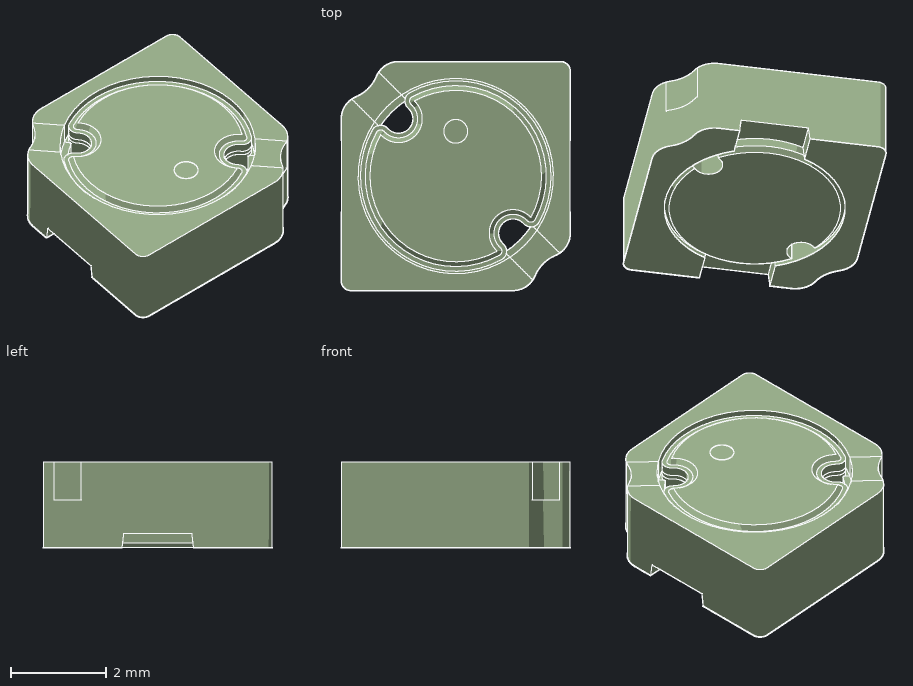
import cadquery as cq
import math

side = 4.8
height = 1.8
half = side / 2

plain_corner_radius = 0.2
scoop_radius = 0.8
scoop_blend_radius = 0.5

upper_bore_radius = 2.05
lower_bore_radius = 1.9
step_height = 1.3

slot_width = 0.8
slot_floor = 1.0

window_bottom_width = 1.5
window_top_width = 1.43
window_height = 0.3

pad_thickness = 0.01

flange_radius = 2.0
rim_chamfer = 0.1
rim_taper = 44.9
ledge_width = 0.1
ledge_height = height - rim_chamfer
notch_centre = 1.7
notch_radius = 0.3
lip_radius = 0.2

spacer_bottom = 1.4
spacer_top = 1.5
neck_radius = 0.9

dot_radius = 0.25
dot_y = 0.94
dot_depth = 0.01

diagonal_angle = -45
diagonal_ends = (1, -1)
diagonal_share = math.sqrt(0.5)


def cylinder(radius, bottom, top):
    return cq.Workplane("XY").workplane(offset=bottom).circle(radius).extrude(top - bottom)


def shield_outline():
    """Rounded square with two opposite corners scooped, each scoop blended into the sides."""
    blend_offset = half - scoop_blend_radius
    centre_distance = scoop_radius + scoop_blend_radius
    side_end = half - math.sqrt(centre_distance**2 - scoop_blend_radius**2)
    share = scoop_blend_radius / centre_distance
    join_along = side_end + share * (half - side_end)
    join_across = blend_offset + share * (half - blend_offset)
    mid_angle = (math.pi / 2 + math.atan2(join_across - blend_offset, join_along - side_end)) / 2
    mid_along = side_end + scoop_blend_radius * math.cos(mid_angle)
    mid_across = blend_offset + scoop_blend_radius * math.sin(mid_angle)
    scoop_mid = half - scoop_radius * diagonal_share
    plain_end = half - plain_corner_radius
    plain_mid = plain_end + plain_corner_radius * diagonal_share

    outline = cq.Workplane("XY").moveTo(plain_end, half)
    for turn in (1, -1):
        outline = (
            outline.lineTo(-turn * side_end, turn * half)
            .threePointArc((-turn * mid_along, turn * mid_across), (-turn * join_along, turn * join_across))
            .threePointArc((-turn * scoop_mid, turn * scoop_mid), (-turn * join_across, turn * join_along))
            .threePointArc((-turn * mid_across, turn * mid_along), (-turn * half, turn * side_end))
            .lineTo(-turn * half, -turn * plain_end)
            .threePointArc((-turn * plain_mid, -turn * plain_mid), (-turn * plain_end, -turn * half))
        )
    return outline.close()


def notched_disc(inset, thickness, taper=0):
    """Disc with two round-ended notches on the diagonal, its outline moved inwards by inset."""
    radius = flange_radius - inset
    notch_half = notch_radius + inset
    lip = lip_radius - inset
    lip_centre_y = notch_half + lip
    lip_centre_x = math.sqrt((radius - lip) ** 2 - lip_centre_y**2)
    rim_x = lip_centre_x * radius / (radius - lip)
    rim_y = lip_centre_y * radius / (radius - lip)
    lip_angle = (math.atan2(lip_centre_y, lip_centre_x) - math.pi / 2) / 2
    lip_x = lip_centre_x + lip * math.cos(lip_angle)
    lip_y = lip_centre_y + lip * math.sin(lip_angle)
    notch_end = notch_centre - notch_half

    outline = cq.Workplane("XY").moveTo(rim_x, rim_y)
    for turn in (1, -1):
        outline = (
            outline.threePointArc((0, turn * radius), (-turn * rim_x, turn * rim_y))
            .threePointArc((-turn * lip_x, turn * lip_y), (-turn * lip_centre_x, turn * notch_half))
            .lineTo(-turn * notch_centre, turn * notch_half)
            .threePointArc((-turn * notch_end, 0), (-turn * notch_centre, -turn * notch_half))
            .lineTo(-turn * lip_centre_x, -turn * notch_half)
            .threePointArc((-turn * lip_x, -turn * lip_y), (-turn * rim_x, -turn * rim_y))
        )
    disc = outline.close().extrude(thickness, taper=taper)
    return disc.rotate((0, 0, 0), (0, 0, 1), diagonal_angle)


def bored_block():
    block = shield_outline().extrude(height)
    block = block.cut(cylinder(lower_bore_radius, 0, height))
    return block.cut(cylinder(upper_bore_radius, step_height, height))


def corner_slot(end):
    """Slab along one end of the diagonal, from the slot floor up to the top face."""
    return (
        cq.Workplane("XY")
        .workplane(offset=slot_floor)
        .center(end * half, 0)
        .rect(side, slot_width)
        .extrude(height - slot_floor)
        .rotate((0, 0, 0), (0, 0, 1), diagonal_angle)
    )


def make_shield():
    shield = bored_block()
    for end in diagonal_ends:
        shield = shield.cut(corner_slot(end))
    window = (
        cq.Workplane("YZ")
        .moveTo(-window_bottom_width / 2, 0)
        .lineTo(window_bottom_width / 2, 0)
        .lineTo(window_top_width / 2, window_height)
        .lineTo(-window_top_width / 2, window_height)
        .close()
        .extrude(half, both=True)
    )
    return shield.cut(window)


def make_filler(end):
    return bored_block().intersect(corner_slot(end))


def make_pad(y_sign):
    sheet = shield_outline().offset2D(pad_thickness).extrude(-pad_thickness)
    sheet = sheet.cut(cylinder(lower_bore_radius, -pad_thickness, 0))
    pad_depth = half
    pad_centre_y = y_sign * (window_bottom_width + pad_depth) / 2
    pad_region = cq.Workplane("XY").box(2 * side, pad_depth, height).translate((0, pad_centre_y, 0))
    return sheet.intersect(pad_region)


def make_spacer():
    ring = notched_disc(0, spacer_top - spacer_bottom).translate((0, 0, spacer_bottom))
    return ring.cut(cylinder(neck_radius, spacer_bottom, spacer_top))


def make_core(spacer):
    drum = cylinder(lower_bore_radius, 0, step_height).faces("<Z").chamfer(rim_chamfer)
    flange = cylinder(flange_radius, step_height, ledge_height)
    core = drum.union(flange).intersect(notched_disc(0, ledge_height))
    raised_top = notched_disc(ledge_width, rim_chamfer, taper=rim_taper).translate((0, 0, ledge_height))
    core = core.union(raised_top)
    dot = cylinder(dot_radius, height - dot_depth, height).translate((0, dot_y, 0))
    return core.cut(dot).cut(spacer)


shield = make_shield()
spacer = make_spacer()
core = make_core(spacer)
fillers = [make_filler(end).val() for end in diagonal_ends]
pads = [make_pad(y_sign).val() for y_sign in (1, -1)]

result = cq.Compound.makeCompound(
    [shield.val(), core.val(), spacer.val(), *fillers, *pads]
)